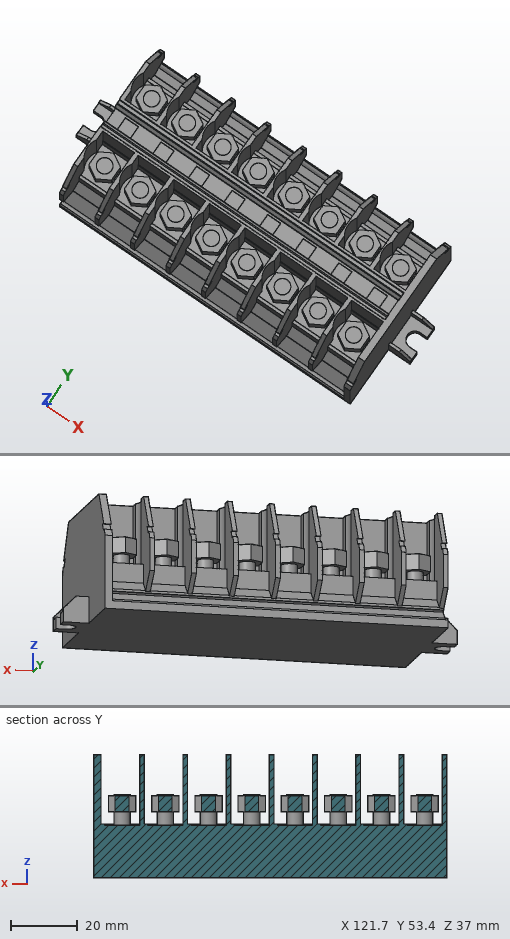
import cadquery as cq
import math

HEIGHT = 37.0
HALF_DEPTH = 26.7
OVERALL_LENGTH = 121.7

CELL_COUNT = 8
BODY_LENGTH = 103.7
CELL_PITCH = BODY_LENGTH / CELL_COUNT
END_PLATE_THICKNESS = 2.3
FIN_THICKNESS = 1.5
BODY_START = -(BODY_LENGTH + END_PLATE_THICKNESS) / 2
BODY_END = BODY_START + BODY_LENGTH
BLOCK_END = BODY_END + END_PLATE_THICKNESS

WALL_HALF_WIDTH = 5.8
WALL_LEDGE_DEPTH = 0.2
WALL_LEDGE_Z = 21.3
PLATEAU_HALF_WIDTH = 18.5
PLATEAU_Z = 16.2
SLOPE_TOP_Z = 10.3
LIP_HALF_WIDTH = 21.4
LIP_BOTTOM_Z = 6.7

GROOVE_APEX_Y = 20.5
GROOVE_APEX_Z = 6.2
GROOVE_TOP_Z = GROOVE_APEX_Z + (HALF_DEPTH - GROOVE_APEX_Y)

TERMINAL_Y = 12.4
TERMINAL_OFFSET_X = 6.7
STUD_DIAMETER = 5.0
STUD_TOP_Z = 25.1
NUT_ACROSS_FLATS = 8.3
NUT_BOTTOM_Z = 19.8
NUT_TOP_Z = 24.7
TOOL_CLEARANCE_RADIUS = 6.2
SEAT_RIM = 1.03
SEAT_DEPTH = 0.4
SEAT_Z = PLATEAU_Z - SEAT_DEPTH

CHANNEL_HALF_WIDTH = 5.0
CHANNEL_FLOOR_Z = 29.9
WINDOW_OFFSET_X = 4.0
WINDOW_LENGTH = 4.7
WINDOW_WIDTH = 4.9
WINDOW_DEPTH = 0.6

FOOT_HALF_WIDTH = 6.5
FOOT_WALL = 1.0
FOOT_HEIGHT = 8.2
FOOT_FLOOR = 3.5
FOOT_CHAMFER = 3.9
FOOT_SLOT_RADIUS = 2.7
FOOT_SLOT_DEPTH = 5.4

UPPER_EDGE = [
    (HALF_DEPTH, 22.5),
    (25.7, 24.6),
    (24.6, 24.6),
    (23.4, 26.7),
    (25.1, 26.4),
    (19.0, HEIGHT),
]
GROOVE_FOOT = [
    (HALF_DEPTH, 0),
    (HALF_DEPTH, 2.4),
    (26.2, 3.0),
    (25.4, 2.5),
    (24.8, 1.8),
    (GROOVE_APEX_Y, GROOVE_APEX_Z),
]
END_PLATE_SIDE = [(HALF_DEPTH, 0)] + UPPER_EDGE
FIN_SIDE = GROOVE_FOOT + [(HALF_DEPTH, GROOVE_TOP_Z)] + UPPER_EDGE
CORE_SIDE = GROOVE_FOOT + [
    (GROOVE_APEX_Y + LIP_BOTTOM_Z - GROOVE_APEX_Z, LIP_BOTTOM_Z),
    (LIP_HALF_WIDTH, LIP_BOTTOM_Z),
    (LIP_HALF_WIDTH, SLOPE_TOP_Z - (LIP_HALF_WIDTH - PLATEAU_HALF_WIDTH)),
    (PLATEAU_HALF_WIDTH, SLOPE_TOP_Z),
    (PLATEAU_HALF_WIDTH, PLATEAU_Z),
    (WALL_HALF_WIDTH + WALL_LEDGE_DEPTH, PLATEAU_Z),
    (WALL_HALF_WIDTH + WALL_LEDGE_DEPTH, WALL_LEDGE_Z),
    (WALL_HALF_WIDTH, WALL_LEDGE_Z),
    (WALL_HALF_WIDTH, HEIGHT),
]
CHANNEL_SIDE = [
    (CHANNEL_HALF_WIDTH, CHANNEL_FLOOR_Z),
    (CHANNEL_HALF_WIDTH, 33.2),
    (2.9, 33.2),
    (2.5, 33.6),
    (2.5, 34.7),
    (3.5, 35.8),
    (3.9, 35.4),
    (CHANNEL_HALF_WIDTH, 35.4),
    (CHANNEL_HALF_WIDTH, HEIGHT),
]


def symmetric_bar(side, x_start, length):
    """Extrude a section, mirrored about the XZ plane, along +X."""
    mirrored = [(-y, z) for y, z in reversed(side)]
    section = cq.Workplane("YZ", origin=(x_start, 0, 0)).polyline(side + mirrored).close()
    return section.extrude(length)


def box(x_start, x_end, y_start, y_end, z_start, z_end):
    """Block between the given coordinates."""
    size = (x_end - x_start, y_end - y_start, z_end - z_start)
    return cq.Workplane("XY").box(*size, centered=False).translate((x_start, y_start, z_start))


def at_terminals(z):
    """Workplane at height z with a point on every terminal axis."""
    first = BODY_START + TERMINAL_OFFSET_X
    points = [
        (first + cell * CELL_PITCH, side * TERMINAL_Y)
        for cell in range(CELL_COUNT)
        for side in (-1, 1)
    ]
    return cq.Workplane("XY", origin=(0, 0, z)).pushPoints(points)


def make_fins():
    """Partition at the start of every cell."""
    fins = cq.Workplane("XY")
    for cell in range(CELL_COUNT):
        fins = fins.add(symmetric_bar(FIN_SIDE, BODY_START + cell * CELL_PITCH, FIN_THICKNESS))
    return fins.combine()


def make_fin_scallops():
    """Wrench clearance around each terminal, limited to the fins and open at the top."""
    clearance = at_terminals(SEAT_Z).circle(TOOL_CLEARANCE_RADIUS).extrude(HEIGHT - SEAT_Z)
    fin_zones = cq.Workplane("XY")
    for cell in range(CELL_COUNT):
        x = BODY_START + cell * CELL_PITCH
        fin_zones = fin_zones.add(box(x, x + FIN_THICKNESS, -HALF_DEPTH, HALF_DEPTH, SEAT_Z, HEIGHT))
    return fin_zones.combine().intersect(clearance)


def make_recesses():
    """Terminal seats in the plateau and windows in the channel floor."""
    recesses = cq.Workplane("XY")
    seat_inner = WALL_HALF_WIDTH + WALL_LEDGE_DEPTH
    seat_outer = PLATEAU_HALF_WIDTH - SEAT_RIM
    for cell in range(CELL_COUNT):
        x = BODY_START + cell * CELL_PITCH
        seat_start = x + FIN_THICKNESS
        seat_end = x + CELL_PITCH - SEAT_RIM
        for y_start, y_end in ((seat_inner, seat_outer), (-seat_outer, -seat_inner)):
            recesses = recesses.add(box(seat_start, seat_end, y_start, y_end, SEAT_Z, PLATEAU_Z))
        window_start = x + WINDOW_OFFSET_X
        recesses = recesses.add(
            box(
                window_start,
                window_start + WINDOW_LENGTH,
                -WINDOW_WIDTH / 2,
                WINDOW_WIDTH / 2,
                CHANNEL_FLOOR_Z - WINDOW_DEPTH,
                CHANNEL_FLOOR_Z,
            )
        )
    return recesses.combine()


def make_hardware():
    """Studs standing in the seats, each with a hexagon nut pointing along Y."""
    studs = at_terminals(SEAT_Z).circle(STUD_DIAMETER / 2).extrude(STUD_TOP_Z - SEAT_Z)
    corner_radius = NUT_ACROSS_FLATS / math.sqrt(3)
    corner_angles = [math.radians(30 + 60 * corner) for corner in range(6)]
    hexagon = [(corner_radius * math.cos(a), corner_radius * math.sin(a)) for a in corner_angles]
    nut = cq.Workplane("XY").polyline(hexagon).close().extrude(NUT_TOP_Z - NUT_BOTTOM_Z).val()
    nuts = at_terminals(NUT_BOTTOM_Z).eachpoint(lambda place: nut.moved(place))
    return studs.union(nuts)


def make_foot(root_x, direction):
    """U-shaped mounting foot reaching from root_x to the overall end, open screw slot."""
    tip_x = direction * OVERALL_LENGTH / 2
    outline = [
        (root_x, 0),
        (tip_x, 0),
        (tip_x, FOOT_HEIGHT - FOOT_CHAMFER),
        (tip_x - direction * FOOT_CHAMFER, FOOT_HEIGHT),
        (root_x, FOOT_HEIGHT),
    ]
    foot = cq.Workplane("XZ").polyline(outline).close().extrude(FOOT_HALF_WIDTH, both=True)
    trough_half = FOOT_HALF_WIDTH - FOOT_WALL
    x_low, x_high = sorted((root_x, tip_x))
    foot = foot.cut(box(x_low, x_high, -trough_half, trough_half, FOOT_FLOOR, FOOT_HEIGHT))
    slot_center_x = tip_x - direction * (FOOT_SLOT_DEPTH - FOOT_SLOT_RADIUS)
    slot_end = cq.Workplane("XY").center(slot_center_x, 0).circle(FOOT_SLOT_RADIUS).extrude(FOOT_FLOOR)
    x_low, x_high = sorted((slot_center_x, tip_x))
    slot_mouth = box(x_low, x_high, -FOOT_SLOT_RADIUS, FOOT_SLOT_RADIUS, 0, FOOT_FLOOR)
    return foot.cut(slot_end).cut(slot_mouth)


core = symmetric_bar(CORE_SIDE, BODY_START, BODY_LENGTH)
channel = symmetric_bar(CHANNEL_SIDE, BODY_START, BODY_LENGTH)
end_plate = symmetric_bar(END_PLATE_SIDE, BODY_END, END_PLATE_THICKNESS)

body = core.union(make_fins()).cut(make_fin_scallops()).cut(make_recesses()).cut(channel)
body = body.union(end_plate).union(make_hardware())
result = body.union(make_foot(BODY_START, -1)).union(make_foot(BLOCK_END, 1))